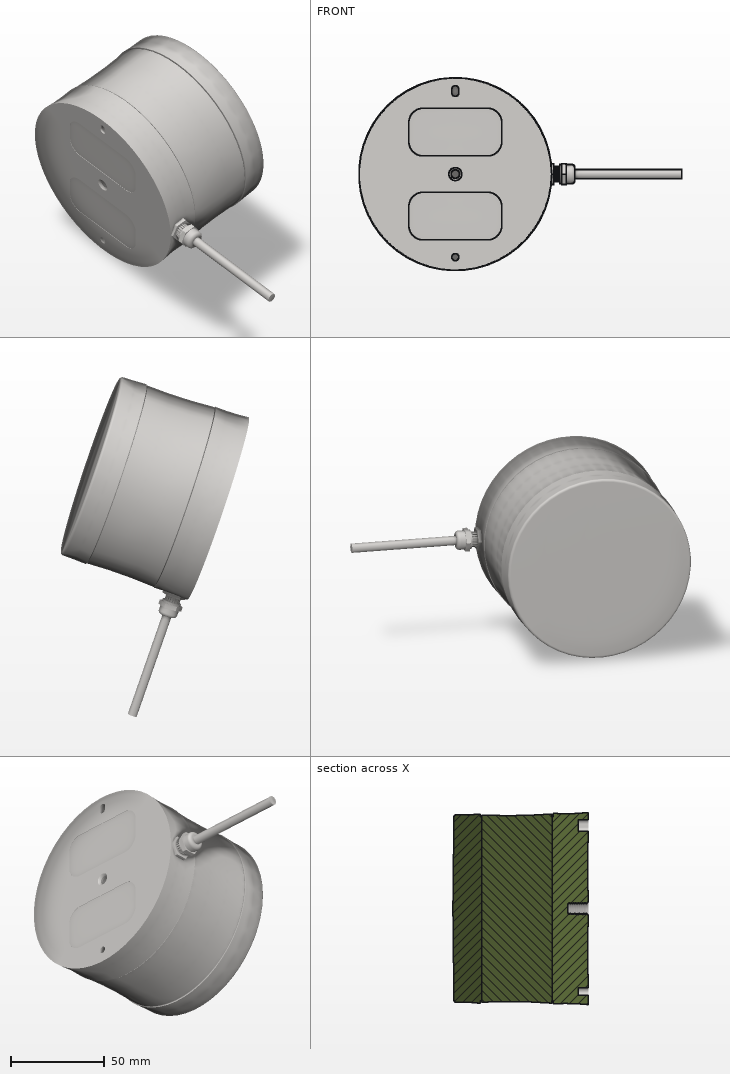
import cadquery as cq
import math


base_depth = 19.4
window_depth = 37.9
head_depth = 72.1
crown_rise = 0.5
window_start = base_depth
window_end = window_start + window_depth

head_diameter = 103.3
base_front_radius = head_diameter / 2
base_waist_radius = 51.0
base_rear_radius = 51.2
window_front_radius = 50.9
window_waist_radius = 50.0
window_rear_radius = 50.3
cap_front_radius = 50.9
cap_rear_radius = 50.3
cap_fillet = 1.4

groove_width = 0.5
groove_depth = 1.4
neck_radius = window_front_radius - groove_depth

label_width = 49.8
label_height = 25.6
label_corner = 7.8
label_recess = 0.2
label_offset = 22.5
dowel_diameter = 3.8
dowel_slot_length = 5.7
dowel_offset = 44.5
dowel_depth = 5.2
thread_minor_radius = 2.2
thread_major_radius = 3.1
thread_mouth_radius = 3.5
thread_pitch = 1.2
thread_turns = 8

gland_height = 7.0
hex_flats = 11.2
hex_corners = hex_flats / math.cos(math.pi / 6)
gland_root = 49.3
flange_end = 52.8
fingers_end = 55.9
nut_hex_start = 57.0
nut_hex_end = 59.3
nut_end = 64.0
nut_radius = 5.2
nut_fillet = 1.7
finger_radius = 4.2
finger_count = 20
finger_slot_width = 0.5
finger_slot_depth = 0.9
cable_diameter = 5.0
cable_radius = cable_diameter / 2
overall_length = 173.0
cable_end = overall_length - base_front_radius


def disc_on_axis(radius, start, end):
    """Cylinder around the head axis, from Y = start to Y = end."""
    return cq.Workplane("XZ", origin=(0, start, 0)).circle(radius).extrude(start - end)


def revolve_around_head(profile):
    """Solid of revolution around the Y axis from a closed profile in the XY plane."""
    return profile.close().revolve(360, (0, 0, 0), (0, 1, 0))


def on_gland_axis(x):
    """Sketch plane across the gland axis, facing +X."""
    return cq.Workplane("YZ", origin=(x, gland_height, 0))


def rod(radius, start, end):
    """Cylinder around the gland axis, from X = start to X = end."""
    return on_gland_axis(start).circle(radius).extrude(end - start)


def hexagon(start, end):
    """Hexagonal prism on the gland axis, with corners pointing along +Y and -Y."""
    return on_gland_axis(start).polygon(6, hex_corners).extrude(end - start)


def label_recesses():
    """Two shallow rounded rectangles, above and below the centre."""
    return (
        cq.Workplane("XZ")
        .pushPoints([(0, label_offset), (0, -label_offset)])
        .rect(label_width, label_height)
        .extrude(-label_recess)
        .edges("|Y")
        .fillet(label_corner)
    )


def dowel_holes():
    """An upright slot above the centre and a round hole below it."""
    slot = cq.Workplane("XZ").center(0, dowel_offset).slot2D(dowel_slot_length, dowel_diameter, 90)
    hole = cq.Workplane("XZ").center(0, -dowel_offset).circle(dowel_diameter / 2)
    return slot.extrude(-dowel_depth).union(hole.extrude(-dowel_depth))


def mounting_thread_hole():
    """Blind centre hole with a countersunk mouth and ring grooves that stand for a screw thread."""
    profile = cq.Workplane("XY").lineTo(thread_mouth_radius, 0)
    depth = thread_mouth_radius - thread_minor_radius
    profile = profile.lineTo(thread_minor_radius, depth)
    for _ in range(thread_turns):
        profile = profile.lineTo(thread_major_radius, depth + thread_pitch / 2)
        depth += thread_pitch
        profile = profile.lineTo(thread_minor_radius, depth)
    return revolve_around_head(profile.lineTo(0, depth))


def make_base():
    """Base with a slightly hollow flank and a neck that forms the floor of the front groove."""
    rear = base_depth - groove_width
    body = revolve_around_head(
        cq.Workplane("XY")
        .lineTo(base_front_radius, 0)
        .threePointArc((base_waist_radius, base_depth / 2), (base_rear_radius, rear))
        .lineTo(neck_radius, rear)
        .lineTo(neck_radius, base_depth)
        .lineTo(0, base_depth)
    )
    return body.cut(label_recesses()).cut(dowel_holes()).cut(mounting_thread_hole())


def make_window():
    """Waisted drum between the base and the cap."""
    middle = (window_start + window_end) / 2
    return revolve_around_head(
        cq.Workplane("XY")
        .moveTo(0, window_start)
        .lineTo(window_front_radius, window_start)
        .threePointArc((window_waist_radius, middle), (window_rear_radius, window_end))
        .lineTo(0, window_end)
    )


def make_cap():
    """Tapered cap with a neck in the rear groove, a rounded rim and a slightly domed end."""
    front = window_end + groove_width
    neck = disc_on_axis(neck_radius, window_end, front)
    shell = revolve_around_head(
        cq.Workplane("XY")
        .moveTo(0, front)
        .lineTo(cap_front_radius, front)
        .lineTo(cap_rear_radius, head_depth)
        .lineTo(0, head_depth)
    )
    shell = shell.faces(">Y").edges().fillet(cap_fillet)
    rim_radius = cap_rear_radius - cap_fillet
    sphere_radius = (rim_radius**2 + crown_rise**2) / (2 * crown_rise)
    half_angle = math.asin(rim_radius / sphere_radius) / 2
    crown_middle = (
        sphere_radius * math.sin(half_angle),
        head_depth + crown_rise - sphere_radius * (1 - math.cos(half_angle)),
    )
    crown = revolve_around_head(
        cq.Workplane("XY")
        .moveTo(0, head_depth)
        .lineTo(rim_radius, head_depth)
        .threePointArc(crown_middle, (0, head_depth + crown_rise))
    )
    return neck.union(shell).union(crown)


def make_gland(base):
    """Cable gland seated against the round flank of the base."""
    fingers = rod(finger_radius, flange_end, fingers_end)
    slots = (
        on_gland_axis(flange_end)
        .polarArray(finger_radius, 0, 360, finger_count)
        .rect(2 * finger_slot_depth, finger_slot_width)
        .extrude(fingers_end - flange_end)
    )
    nut = rod(nut_radius, fingers_end, nut_end).faces(">X").edges().fillet(nut_fillet)
    return (
        hexagon(gland_root, flange_end)
        .cut(base)
        .union(fingers.cut(slots))
        .union(nut)
        .union(hexagon(nut_hex_start, nut_hex_end))
    )


base = make_base()
window = make_window()
cap = make_cap()
gland = make_gland(base)
cable = rod(cable_radius, nut_end, cable_end)

result = cq.Compound.makeCompound([base.val(), window.val(), cap.val(), gland.val(), cable.val()])